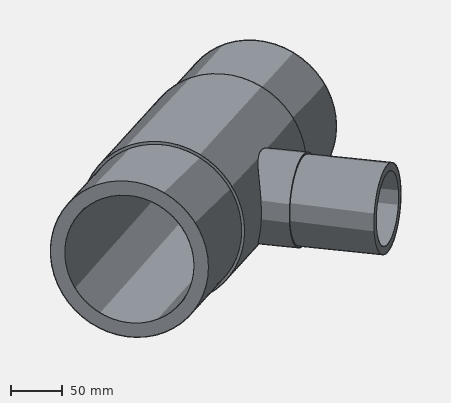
import cadquery as cq

run_length = 424.0
run_diameter = 160.0
run_bore = 130.5

sleeve_length = 204.0
sleeve_diameter = 165.8

overall_width = 279.0
branch_reach = overall_width - sleeve_diameter / 2
branch_diameter = 90.0
branch_bore = 73.8
collar_reach = 111.0
collar_diameter = 93.3


def run_cylinder(diameter, length):
    """Cylinder along Y, centred on the origin."""
    return cq.Workplane("XZ").circle(diameter / 2).extrude(length / 2, both=True)


def branch_cylinder(diameter, reach):
    """Cylinder along +X, starting at the main pipe axis."""
    return cq.Workplane("YZ").circle(diameter / 2).extrude(reach)


body = run_cylinder(run_diameter, run_length)
body = body.union(run_cylinder(sleeve_diameter, sleeve_length))
body = body.union(branch_cylinder(collar_diameter, collar_reach))
body = body.union(branch_cylinder(branch_diameter, branch_reach))

body = body.cut(run_cylinder(run_bore, run_length))
result = body.cut(branch_cylinder(branch_bore, branch_reach))